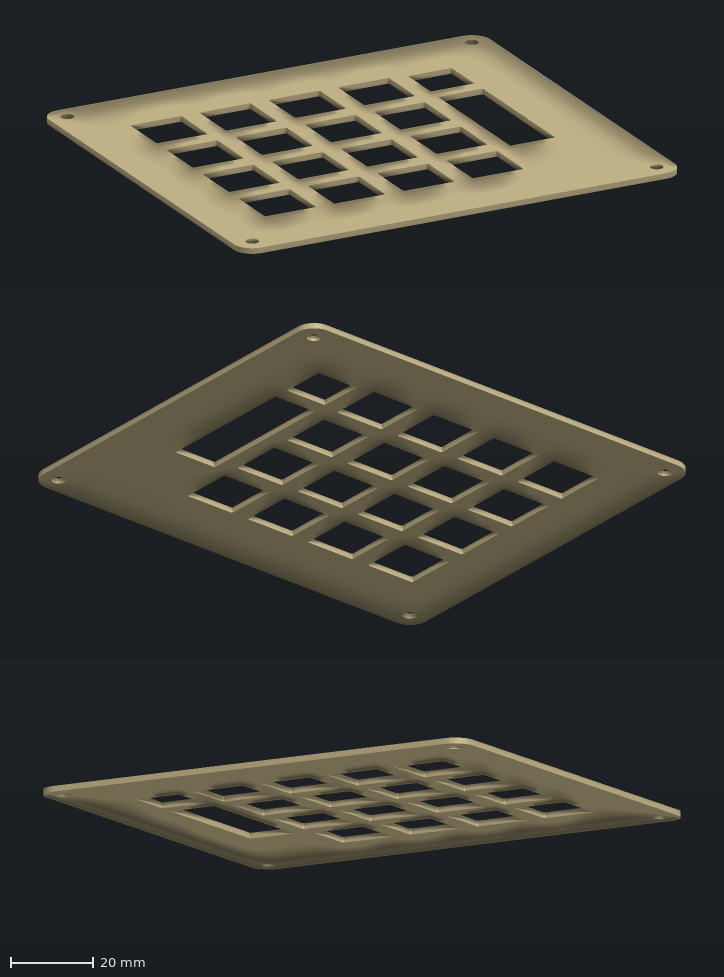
import cadquery as cq

plate_width = 107.2
plate_length = 121.0
plate_thickness = 1.5
corner_radius = 5.0

screw_diameter = 3.4
screw_spacing_x = plate_width - 2 * corner_radius
screw_spacing_y = plate_length - 2 * corner_radius

key_count = 4
key_size = 14.0
key_pitch = 19.0
key_corner_radius = 0.5
key_grid_x = -0.6
key_grid_y = -9.3

window_y = 36.9
square_window_size = 12.0
square_window_x = key_grid_x - (key_count - 1) / 2 * key_pitch
display_width = 38.0
display_height = 12.3
display_x = 0.1


def make_plate():
    """Flat plate with rounded corners, resting on Z = 0."""
    blank = cq.Workplane("XY").rect(plate_width, plate_length).extrude(plate_thickness)
    return blank.edges("|Z").fillet(corner_radius)


def make_screw_holes():
    """Cutters for the four corner holes."""
    corners = cq.Workplane("XY").rect(screw_spacing_x, screw_spacing_y, forConstruction=True).vertices()
    return corners.circle(screw_diameter / 2).extrude(plate_thickness)


def make_key_openings():
    """Cutters for the square grid of key openings with slightly rounded corners."""
    grid = cq.Workplane("XY").center(key_grid_x, key_grid_y)
    grid = grid.rarray(key_pitch, key_pitch, key_count, key_count)
    keys = grid.rect(key_size, key_size).extrude(plate_thickness)
    return keys.edges("|Z").fillet(key_corner_radius)


def make_window(center_x, width, height):
    """Cutter for a sharp-cornered opening in the row above the keys."""
    return cq.Workplane("XY").center(center_x, window_y).rect(width, height).extrude(plate_thickness)


result = (
    make_plate()
    .cut(make_screw_holes())
    .cut(make_key_openings())
    .cut(make_window(square_window_x, square_window_size, square_window_size))
    .cut(make_window(display_x, display_width, display_height))
)